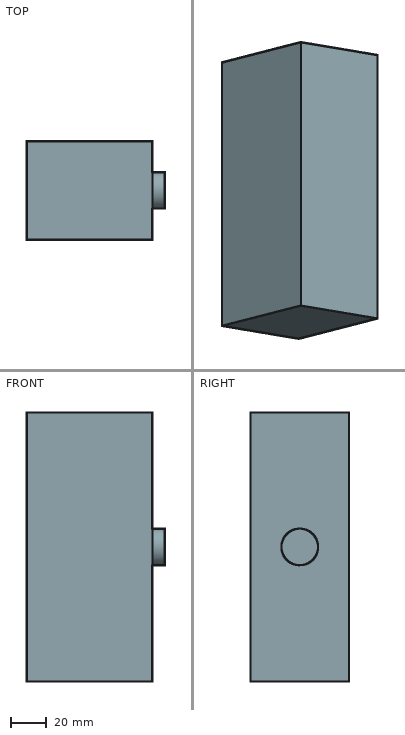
import cadquery as cq

block_height = 150.0
block_depth = 55.0
overall_width = 77.0

stub_length = 6.9
stub_diameter = 20.4

block_width = overall_width - stub_length

block = cq.Workplane("XY").box(block_width, block_depth, block_height)

result = block.faces(">X").workplane().circle(stub_diameter / 2).extrude(stub_length)